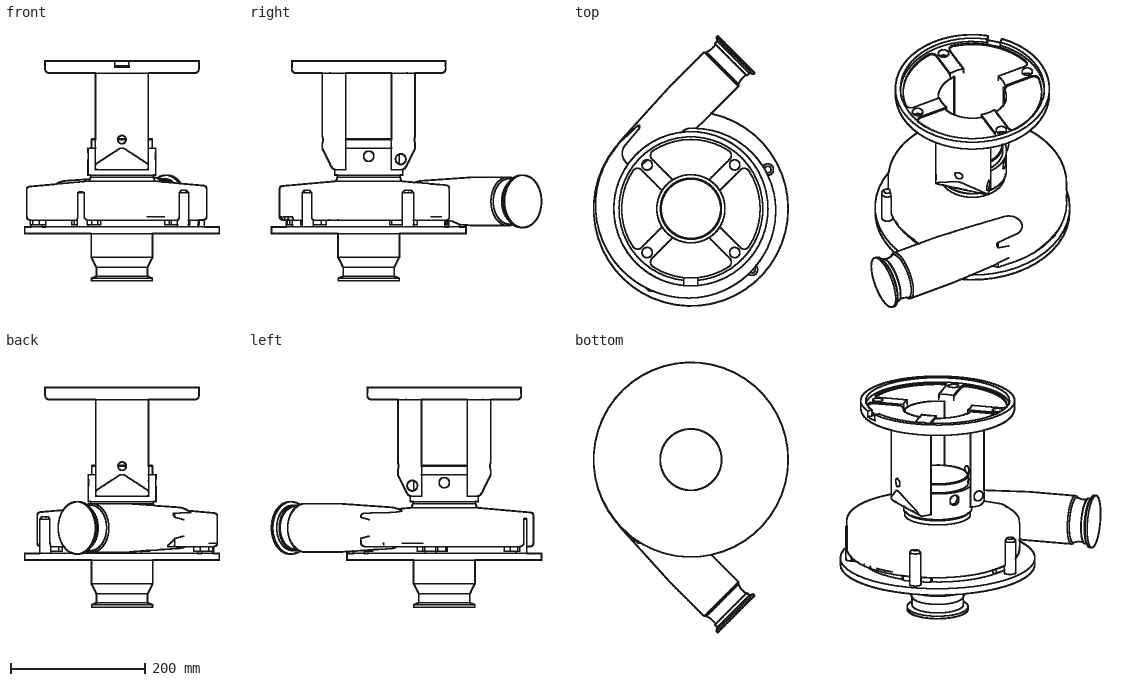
import cadquery as cq
import math

plate_radius = 145.0
plate_top = 10.0

inlet_radius = 46.0
inlet_cone_top = -35.0
inlet_cone_bottom = -50.5
inlet_neck_radius = 38.3
inlet_lip_radius = 45.5
inlet_lip_top = -66.5
inlet_bottom = -70.5
inlet_lip_flare = 3.0

spiral_end_angle = -225
spiral_start_radius = 122.5
spiral_growth = 7.85
spiral_shift = 1.2
volute_bottom = 20.0
volute_edge_fillet = 5.2
roof_inner_radius = 48.5
roof_inner_height = 78.0
roof_outer_radius = 116.0
roof_outer_height = 72.0
roof_edge_margin = 1.2
outlet_wall_length = 32.2
outlet_wall_offset = 143.5
rim_radius = 113.5
rim_overlap = 8.0

outlet_angle = 45
outlet_offset = 115.0
outlet_height = 48.0
outlet_length = 210.5
outlet_root_radius = 31.0
outlet_radius = 36.3
outlet_cone_length = 106.5
outlet_neck_radius = 32.0
outlet_lip_radius = 39.0
outlet_lip_thickness = 3.2
outlet_lip_flare = 3.0
outlet_collar_height = 2.0
outlet_body_setback = 31.5
outlet_shoulder_setback = 29.0
outlet_neck_setback = 22.0
outlet_collar_setback = 11.3
outlet_shoulder_drop = 2.5

post_count = 5
post_first_angle = 27
post_circle_radius = 128.5
post_radius = 8.5
post_shoulder = 60.5
post_tip_radius = 5.0
post_top = 64.5
post_embed = 2.0
lug_radius = 12.0
lug_bottom = 13.0
lug_half_width = 21.8
lug_tip_half_width = 11.3
lug_tip_reach = 4.0
lug_shoulder_setback = 7.3
lug_overlap = 4.0

neck_radius = 46.7
neck_flare_top = 84.0
neck_flare = 1.0
neck_embed = 0.5
sleeve_radius = 50.8
sleeve_bottom = 87.0
sleeve_top = 127.5
core_radius = 45.5
core_top = 141.0
core_chamfer = 1.2
side_hole_radius = 7.5
side_hole_height = 115.2

leg_half_width = 39.5
leg_inner = 34.0
leg_shoulder = 57.5
leg_ridge = 69.3
leg_ridge_half_width = 3.02
leg_bottom = 95.0
leg_slope_top = 127.0
leg_slope_run = 3.2
leg_slope_drop = 6.5
leg_edge_fillet = 2.0
leg_toe_fillet = 10.0
leg_hole_y = 47.5
leg_hole_height = 110.8
ridge_hole_radius = 6.0
ridge_hole_height = 140.0

flange_radius = 115.0
flange_bottom = 239.0
flange_top = 257.0
flange_fillet = 6.5
recess_radius = 107.0
recess_depth = 7.0
pocket_radius = 103.0
pocket_depth = 2.5
pocket_corner_radius = 8.0
bore_round = 5.5
spoke_count = 4
spoke_half_width = 11.3
bolt_circle_radius = 92.3
bolt_hole_radius = 7.5
notch_width = 21.0

select_margin = 0.5


def disc(radius, bottom, top):
    return cq.Workplane("XY").workplane(offset=bottom).circle(radius).extrude(top - bottom)


def revolved(points):
    """Solid of revolution about Z from (radius, height) points."""
    return cq.Workplane("XZ").polyline(points).close().revolve(360, (0, 0), (0, 1))


def hole_along_x(y, z, radius):
    return cq.Workplane("YZ").center(y, z).circle(radius).extrude(2 * sleeve_radius, both=True)


def turned(solid, angle):
    return solid.rotate((0, 0, 0), (0, 0, 1), angle)


def polar(radius, angle):
    return (radius * math.cos(math.radians(angle)), radius * math.sin(math.radians(angle)))


def along_outlet(distance, offset):
    """Plan point at a distance along the outlet direction and an offset to its left."""
    cosine, sine = polar(1, outlet_angle)
    return (distance * cosine - offset * sine, distance * sine + offset * cosine)


def volute_outline():
    """Spiral of three tangent arcs, run out into a straight wall beside the outlet."""
    half_step = spiral_growth / 2
    centres = [(half_step, -half_step), (-half_step, -half_step), (-half_step, half_step)]
    end_angles = [0, -90, spiral_end_angle]
    start_angle = 90
    start_y = spiral_start_radius - half_step + spiral_shift
    outline = cq.Workplane("XY").workplane(offset=volute_bottom).moveTo(half_step, start_y)
    for index, (x, y) in enumerate(centres):
        radius = spiral_start_radius + index * spiral_growth
        end_angle = end_angles[index]
        middle_x, middle_y = polar(radius, (start_angle + end_angle) / 2)
        end_x, end_y = polar(radius, end_angle)
        outline = outline.threePointArc(
            (x + middle_x, y + spiral_shift + middle_y),
            (x + end_x, y + spiral_shift + end_y),
        )
        start_angle = end_angle
    return outline.lineTo(*along_outlet(outlet_wall_length, outlet_wall_offset)).close()


def volute():
    """Spiral casing under a shallow conical roof, rounded along its upper and lower edges."""
    slope = (roof_outer_height - roof_inner_height) / (roof_outer_radius - roof_inner_radius)
    reach = 2 * plate_radius
    roof_end = roof_inner_height + slope * (reach - roof_inner_radius)
    roof = revolved([
        (0, volute_bottom),
        (reach, volute_bottom),
        (reach, roof_end),
        (roof_inner_radius, roof_inner_height),
        (0, roof_inner_height),
    ])
    casing = volute_outline().extrude(roof_inner_height).intersect(roof)
    casing = casing.faces("<Z").edges().fillet(volute_edge_fillet)
    roof_edges = cq.selectors.BoxSelector(
        (-reach, -reach, roof_end),
        (reach, reach, roof_outer_height + roof_edge_margin),
    )
    return casing.edges(roof_edges).fillet(volute_edge_fillet)


def outlet():
    """Round-ended cone and pipe with a stepped neck and a lip."""
    lip_start = outlet_length - outlet_lip_thickness
    collar_start = outlet_length - outlet_collar_setback
    collar_radius = outlet_neck_radius + outlet_collar_height
    profile = (
        cq.Workplane("XY")
        .moveTo(-outlet_root_radius, 0)
        .threePointArc(polar(outlet_root_radius, 135), (0, outlet_root_radius))
        .lineTo(outlet_cone_length, outlet_radius)
        .lineTo(outlet_length - outlet_body_setback, outlet_radius)
        .lineTo(outlet_length - outlet_shoulder_setback, outlet_radius - outlet_shoulder_drop)
        .lineTo(outlet_length - outlet_neck_setback, outlet_neck_radius)
        .lineTo(collar_start, outlet_neck_radius)
        .lineTo(collar_start, collar_radius)
        .lineTo(lip_start - outlet_lip_flare, collar_radius)
        .lineTo(lip_start, outlet_lip_radius)
        .lineTo(outlet_length, outlet_lip_radius)
        .lineTo(outlet_length, 0)
        .close()
    )
    start_x, start_y = along_outlet(0, outlet_offset)
    pipe = profile.revolve(360, (0, 0), (1, 0))
    return turned(pipe, outlet_angle).translate((start_x, start_y, outlet_height))


def inlet():
    return revolved([
        (0, plate_top),
        (inlet_radius, plate_top),
        (inlet_radius, inlet_cone_top),
        (inlet_neck_radius, inlet_cone_bottom),
        (inlet_neck_radius, inlet_lip_top + inlet_lip_flare),
        (inlet_lip_radius, inlet_lip_top),
        (inlet_lip_radius, inlet_bottom),
        (0, inlet_bottom),
    ])


def post():
    """One clamping post, centred on the origin."""
    return revolved([
        (0, plate_top - post_embed),
        (post_radius, plate_top - post_embed),
        (post_radius, post_shoulder),
        (post_tip_radius, post_top),
        (0, post_top),
    ])


def lug():
    """Lug around a post at the origin, widening toward the pump axis on its -X side."""
    inner = rim_radius - post_circle_radius - lug_overlap
    return (
        cq.Workplane("XY").workplane(offset=lug_bottom)
        .moveTo(inner, lug_half_width)
        .lineTo(-lug_shoulder_setback, lug_half_width)
        .lineTo(lug_tip_reach, lug_tip_half_width)
        .threePointArc((lug_radius, 0), (lug_tip_reach, -lug_tip_half_width))
        .lineTo(-lug_shoulder_setback, -lug_half_width)
        .lineTo(inner, -lug_half_width)
        .close()
        .extrude(volute_bottom - lug_bottom)
    )


def on_post_circle(solid, index):
    moved = solid.translate((post_circle_radius, 0, 0))
    return turned(moved, post_first_angle + index * 360 / post_count)


def leg():
    """Leg on the +Y side: a ridged bar with a sloping toe, hollowed to the bore."""
    bar = (
        cq.Workplane("XY").workplane(offset=leg_bottom)
        .polyline([
            (-leg_half_width, leg_inner),
            (-leg_half_width, leg_shoulder),
            (-leg_ridge_half_width, leg_ridge),
            (leg_ridge_half_width, leg_ridge),
            (leg_half_width, leg_shoulder),
            (leg_half_width, leg_inner),
        ])
        .close()
        .extrude(flange_bottom - leg_bottom)
    )
    toe_y = leg_ridge - leg_slope_run / leg_slope_drop * (leg_slope_top - leg_bottom)
    side = (
        cq.Workplane("YZ")
        .polyline([
            (0, leg_bottom),
            (toe_y, leg_bottom),
            (leg_ridge, leg_slope_top),
            (leg_ridge, flange_bottom),
            (0, flange_bottom),
        ])
        .close()
        .extrude(leg_half_width, both=True)
    )
    bar = bar.intersect(side).cut(disc(sleeve_radius, leg_bottom, flange_bottom))
    shoulder_edges = cq.selectors.BoxSelector(
        (-2 * leg_half_width, leg_shoulder - select_margin, leg_bottom),
        (2 * leg_half_width, leg_shoulder + select_margin, flange_bottom),
    )
    bar = bar.edges(shoulder_edges).edges("|Z").fillet(leg_edge_fillet)
    toe_edge = cq.selectors.BoxSelector(
        (-leg_half_width, toe_y - select_margin, leg_bottom - select_margin),
        (leg_half_width, toe_y + select_margin, leg_bottom + select_margin),
    )
    bar = bar.edges(toe_edge).fillet(leg_toe_fillet)
    ridge_hole = (
        cq.Workplane("XZ").center(0, ridge_hole_height)
        .circle(ridge_hole_radius).extrude(-2 * leg_ridge)
    )
    return bar.cut(ridge_hole)


def flange_pocket():
    """Pocket between two spokes in the +X +Y quarter, with its rounded mouth at the bore."""
    spoke_top = flange_top - recess_depth
    floor = spoke_top - pocket_depth
    quarter = (
        cq.Workplane("XY").workplane(offset=flange_bottom)
        .center(spoke_half_width, spoke_half_width)
        .rect(flange_radius, flange_radius, centered=False)
        .extrude(flange_top - flange_bottom)
    )
    inner = sleeve_radius - bore_round
    pocket = disc(pocket_radius, floor, spoke_top).cut(disc(inner, floor, spoke_top)).intersect(quarter)
    outer_corners = pocket.edges("|Z").filter(
        lambda edge: math.hypot(edge.Center().x, edge.Center().y) > bolt_circle_radius
    )
    pocket = outer_corners.fillet(pocket_corner_radius)
    mouth = sleeve_radius + bore_round
    ring = (
        cq.Workplane("XZ").center(mouth, floor - bore_round)
        .circle(bore_round).revolve(360, (-mouth, 0), (-mouth, 1))
    )
    rounding = disc(mouth, floor - bore_round, floor).cut(ring)
    return pocket.union(rounding.intersect(quarter))


def flange():
    """Motor flange with a recessed face, four spokes, bolt holes and a rim notch."""
    spoke_top = flange_top - recess_depth
    plate = disc(flange_radius, flange_bottom, flange_top).faces("<Z").edges().fillet(flange_fillet)
    plate = plate.cut(disc(recess_radius, spoke_top, flange_top))
    plate = plate.cut(disc(sleeve_radius, flange_bottom, flange_top))
    pocket = flange_pocket()
    bolt_hole = disc(bolt_hole_radius, flange_bottom, flange_top).translate((bolt_circle_radius, 0, 0))
    for index in range(spoke_count):
        angle = 45 + index * 360 / spoke_count
        plate = plate.cut(turned(pocket, angle))
        plate = plate.cut(turned(bolt_hole, angle))
    notch = (
        cq.Workplane("XY").workplane(offset=spoke_top - pocket_depth)
        .center(0, -flange_radius)
        .rect(notch_width, 2 * (flange_radius - pocket_radius))
        .extrude(recess_depth + pocket_depth)
    )
    return plate.cut(notch)


def bracket():
    """Sleeve, two legs and motor flange, with the cross holes through the sleeve."""
    leg_hole = hole_along_x(leg_hole_y, leg_hole_height, side_hole_radius)
    side_hole = hole_along_x(0, side_hole_height, side_hole_radius)
    legs = leg().union(turned(leg(), 180)).cut(leg_hole)
    sleeve = disc(sleeve_radius, sleeve_bottom, sleeve_top).cut(leg_hole).cut(side_hole)
    return sleeve, legs.union(flange())


casing = volute()
result = disc(plate_radius, 0, plate_top).union(inlet())
result = result.union(disc(rim_radius, 0, volute_bottom + rim_overlap))
result = result.union(casing).union(outlet())

lug_limit = casing.faces("<Z").wires().toPending().extrude(-(volute_bottom - lug_bottom))
for post_index in range(post_count):
    result = result.union(on_post_circle(post(), post_index))
    result = result.union(on_post_circle(lug(), post_index).intersect(lug_limit))

neck_bottom = roof_inner_height - neck_embed
neck = revolved([
    (0, sleeve_bottom),
    (neck_radius, sleeve_bottom),
    (neck_radius, neck_flare_top),
    (roof_inner_radius + neck_flare, neck_bottom),
    (0, neck_bottom),
])
core = disc(core_radius, volute_bottom, core_top).faces(">Z").edges().chamfer(core_chamfer)
housing_sleeve, legs_and_flange = bracket()
result = result.union(neck).union(core).union(housing_sleeve).union(legs_and_flange)